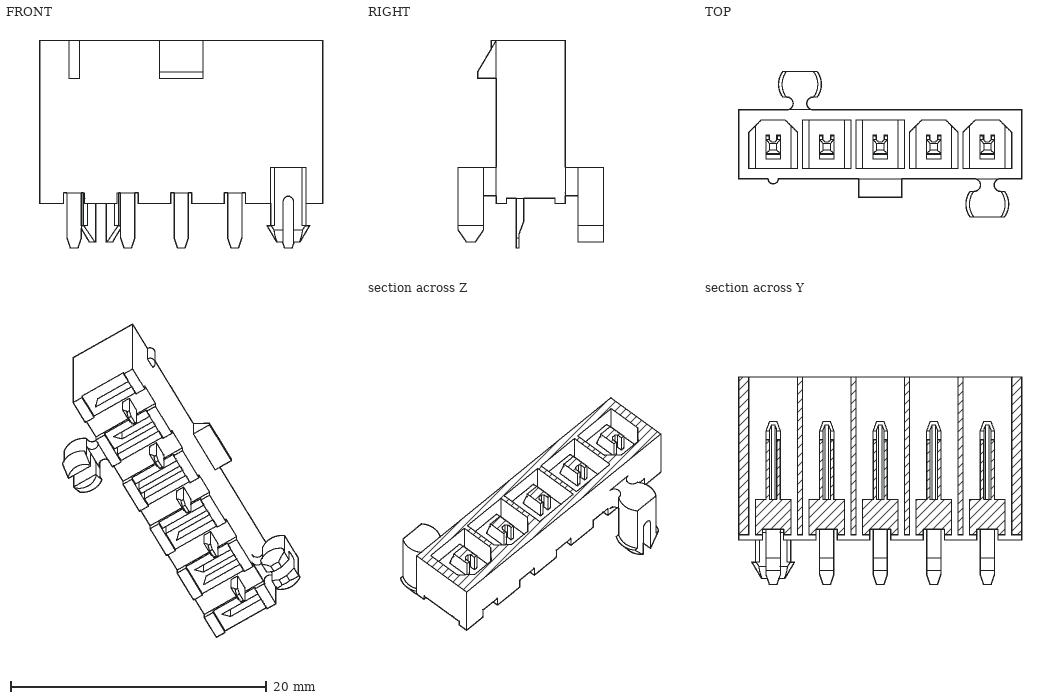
import cadquery as cq
import math

length = 22.2
depth = 5.42
height = 12.8
half_depth = depth / 2

pitch = 4.2
circuits = 5
circuit_x = [(i - (circuits - 1) / 2) * pitch for i in range(circuits)]
keyed_circuits = (0, 3, 4)

cell = 3.8
cell_chamfer = 0.95
pin_block_width = 2.8
floor_top = 3.2

recess_height = 0.42
notch_width = 1.65
notch_height = 0.85

latch_width = 3.4
latch_reach = 1.47
latch_height = 2.97
latch_lip = 0.49
rib_width = 0.82
rib_reach = 0.4

pin_width = 1.13
pin_front = -1.15
tail_length = 3.49
tail_thickness = 0.62
tip_thickness = 0.25
tail_taper_top = -1.38
tail_taper_bottom = -2.38
tail_point_length = 0.8
tail_point_width = 0.6

contact_front = -0.73
contact_back = 0.73
contact_top = 9.32
leg_start = 0.38
leg_drop = 0.67
tip_height = 0.78
tip_flat_width = 0.55
tip_flat_front = -0.47
tip_flat_back = 0.05
leg_chamfer = 0.07
shoulder_ledge = 0.07
shoulder_height = 1.1
groove_width = 0.55
groove_floor_width = 0.27
groove_bottom = 0.18

peg_length = 2.02
peg_reach = 5.7
peg_arc_radius = 1.69
peg_half_width = 1.4
peg_top = 2.85
neck_bottom = 0.62
neck_width = 1.09
neck_radius = (peg_reach - peg_length - half_depth) / 2
barb_half_width = 1.69
barb_top = -1.7
peg_bottom = -3.02
barb_bottom_half_width = 0.9
barb_bottom_flat = 0.47
peg_slot_width = 0.8
peg_slot_top = 0.58
lead_in_height = 0.98
lead_in_depth = 0.67
front_peg_x = circuit_x[4]
back_peg_x = (circuit_x[0] + circuit_x[1]) / 2


def box(width, y_min, y_max, z_min, z_max, x=0.0):
    """Block centred on x, between the given Y and Z limits."""
    return (
        cq.Workplane("XY", origin=(x, (y_min + y_max) / 2, z_min))
        .rect(width, y_max - y_min)
        .extrude(z_max - z_min)
    )


def make_cell(x, keyed):
    """Opening of one circuit, leaving the block that carries the pin."""
    opening = box(cell, -cell / 2, cell / 2, 0, height, x)
    if keyed:
        opening = opening.edges("|Z and >Y").chamfer(cell_chamfer)
    pin_block = box(pin_block_width, -cell / 2, cell / 2, 0, floor_top, x)
    return opening.cut(pin_block)


def make_housing():
    """Box with open cells, a slot under each pin and a recessed underside."""
    housing = box(length, -half_depth, half_depth, 0, height)
    for i, x in enumerate(circuit_x):
        housing = housing.cut(make_cell(x, i in keyed_circuits))
        housing = housing.cut(box(notch_width, -half_depth, half_depth, 0, notch_height, x))
    return housing.cut(box(length, -cell / 2, cell / 2, 0, recess_height))


def make_latch():
    """Ramp that starts at the top edge of the front wall and ends in a lip."""
    bottom = height - latch_height
    return (
        cq.Workplane("YZ")
        .moveTo(-half_depth, height)
        .lineTo(-half_depth - latch_reach, bottom + latch_lip)
        .lineTo(-half_depth - latch_reach, bottom)
        .lineTo(-half_depth, bottom)
        .close()
        .extrude(latch_width / 2, both=True)
    )


def make_rib():
    """Rounded rib that runs down from the top edge of the front wall."""
    rib_radius = rib_width / 2
    return (
        cq.Workplane("XY", origin=(circuit_x[0], -half_depth - rib_reach + rib_radius, height))
        .circle(rib_radius)
        .extrude(-latch_height)
    )


def make_tail():
    """Solder tail: thinned from behind and narrowed at its end."""
    side = (
        cq.Workplane("YZ")
        .moveTo(pin_front, floor_top)
        .lineTo(pin_front, -tail_length)
        .lineTo(pin_front + tip_thickness, -tail_length)
        .lineTo(pin_front + tip_thickness, tail_taper_bottom)
        .lineTo(pin_front + tail_thickness, tail_taper_top)
        .lineTo(pin_front + tail_thickness, floor_top)
        .close()
        .extrude(pin_width / 2, both=True)
    )
    face = (
        cq.Workplane("XZ")
        .moveTo(-pin_width / 2, floor_top)
        .lineTo(pin_width / 2, floor_top)
        .lineTo(pin_width / 2, tail_point_length - tail_length)
        .lineTo(tail_point_width / 2, -tail_length)
        .lineTo(-tail_point_width / 2, -tail_length)
        .lineTo(-pin_width / 2, tail_point_length - tail_length)
        .close()
        .extrude(half_depth, both=True)
    )
    return side.intersect(face)


def make_contact():
    """Grooved contact with a pyramid point, a sloped front shoulder and two lower legs behind."""
    tip_base = contact_top - tip_height
    column = box(pin_width, contact_front, leg_start, floor_top, tip_base)
    flat_shift = (tip_flat_front + tip_flat_back - contact_front - leg_start) / 2
    point = (
        cq.Workplane("XY", origin=(0, (leg_start + contact_front) / 2, tip_base))
        .rect(pin_width, leg_start - contact_front)
        .workplane(offset=tip_height)
        .center(0, flat_shift)
        .rect(tip_flat_width, tip_flat_back - tip_flat_front)
        .loft(ruled=True)
    )
    shoulder = (
        cq.Workplane("YZ")
        .moveTo(pin_front, floor_top)
        .lineTo(contact_front, floor_top)
        .lineTo(contact_front, floor_top + shoulder_height)
        .lineTo(contact_front - shoulder_ledge, floor_top + shoulder_height)
        .close()
        .extrude(pin_width / 2, both=True)
    )
    groove_corner = groove_bottom + (groove_width - groove_floor_width) / 2
    groove = (
        cq.Workplane("XY", origin=(0, 0, floor_top))
        .moveTo(-groove_floor_width / 2, groove_bottom)
        .lineTo(groove_floor_width / 2, groove_bottom)
        .lineTo(groove_width / 2, groove_corner)
        .lineTo(groove_width / 2, contact_back)
        .lineTo(-groove_width / 2, contact_back)
        .lineTo(-groove_width / 2, groove_corner)
        .close()
        .extrude(contact_top - floor_top)
    )
    contact = column.union(point).union(shoulder).cut(groove)

    leg_width = (pin_width - groove_width) / 2
    leg_x = (groove_width + leg_width) / 2
    for x, inner_edge in ((-leg_x, ">X"), (leg_x, "<X")):
        leg = box(leg_width, leg_start, contact_back, floor_top, tip_base - leg_drop, x)
        leg = leg.edges(f">Z and (>Y or {inner_edge})").chamfer(leg_chamfer)
        contact = contact.union(leg)
    return contact


def peg_section(plane, half_width, flat_half_width):
    """Peg outline: flat front and back, bulging sides."""
    y = peg_length / 2
    return (
        plane.moveTo(-flat_half_width, -y)
        .lineTo(flat_half_width, -y)
        .threePointArc((half_width, 0), (flat_half_width, y))
        .lineTo(-flat_half_width, y)
        .threePointArc((-half_width, 0), (-flat_half_width, -y))
        .close()
    )


def make_peg(lead_in):
    """Peg on the front wall at X = 0, with a barbed, slotted end."""
    centre_y = peg_length / 2 - peg_reach
    inner_y = peg_length - peg_reach
    bulge = peg_arc_radius - math.sqrt(peg_arc_radius**2 - (peg_length / 2) ** 2)

    shaft_plane = cq.Workplane("XY", origin=(0, centre_y, barb_top))
    peg = peg_section(shaft_plane, peg_half_width, peg_half_width - bulge).extrude(peg_top - barb_top)

    barb_plane = cq.Workplane("XY", origin=(0, centre_y, peg_bottom))
    barb_end = peg_section(barb_plane, barb_bottom_half_width, barb_bottom_flat)
    shoulder_plane = barb_end.workplane(offset=barb_top - peg_bottom)
    barb = peg_section(shoulder_plane, barb_half_width, barb_half_width - bulge).loft(ruled=True)
    peg = peg.union(barb)

    slot_radius = peg_slot_width / 2
    slot = (
        cq.Workplane("XZ")
        .moveTo(-slot_radius, peg_bottom)
        .lineTo(-slot_radius, peg_slot_top - slot_radius)
        .threePointArc((0, peg_slot_top), (slot_radius, peg_slot_top - slot_radius))
        .lineTo(slot_radius, peg_bottom)
        .close()
        .extrude(peg_reach)
    )
    peg = peg.cut(slot)

    if lead_in:
        for face_y, inward in ((-peg_reach, 1), (inner_y, -1)):
            wedge = (
                cq.Workplane("YZ")
                .moveTo(face_y, peg_bottom)
                .lineTo(face_y + inward * lead_in_depth, peg_bottom)
                .lineTo(face_y, peg_bottom + lead_in_height)
                .close()
                .extrude(barb_half_width, both=True)
            )
            peg = peg.cut(wedge)

    neck_half_limit = neck_width / 2 + neck_radius
    neck = box(2 * neck_half_limit, inner_y, -half_depth, neck_bottom, peg_top)
    hollows = (
        cq.Workplane("XY", origin=(0, inner_y + neck_radius, neck_bottom))
        .pushPoints([(-neck_half_limit, 0), (neck_half_limit, 0)])
        .circle(neck_radius)
        .extrude(peg_top - neck_bottom)
    )
    neck = neck.cut(hollows)
    return peg.union(neck)


result = make_housing().union(make_latch()).union(make_rib())

pin = make_tail().union(make_contact())
for x in circuit_x:
    result = result.union(pin.translate((x, 0, 0)))

front_peg = make_peg(lead_in=True).translate((front_peg_x, 0, 0))
back_peg = make_peg(lead_in=False).mirror("XZ").translate((back_peg_x, 0, 0))
result = result.union(front_peg).union(back_peg)